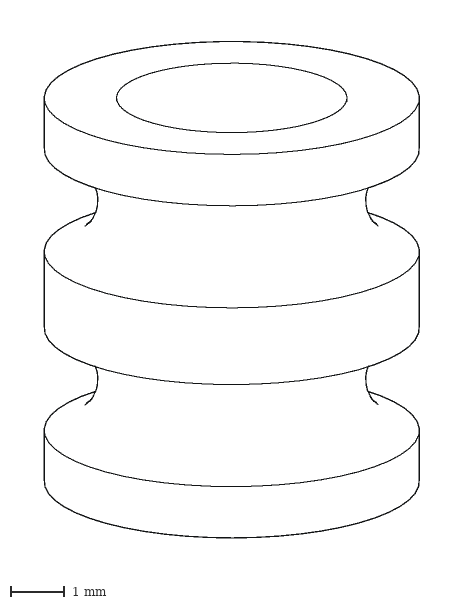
import cadquery as cq

height = 7.5
outer_diameter = 7.0
bottom_bore_diameter = 4.0
top_bore_diameter = 4.3
groove_radius = 1.0
groove_offset = 1.75

outer_radius = outer_diameter / 2
bottom_bore_radius = bottom_bore_diameter / 2
top_bore_radius = top_bore_diameter / 2
half_height = height / 2


def spool_body():
    """Cylinder centred on the origin with two half-round grooves."""
    body = cq.Workplane("XY").circle(outer_radius).extrude(half_height, both=True)
    for groove_z in (-groove_offset, groove_offset):
        groove = (
            cq.Workplane("XZ")
            .center(outer_radius, groove_z)
            .circle(groove_radius)
            .revolve(360, (-outer_radius, 0), (-outer_radius, 1))
        )
        body = body.cut(groove)
    return body


def bore():
    """Conical through bore, widening evenly from the bottom face to the top face."""
    return (
        cq.Workplane("XZ")
        .moveTo(0, -half_height)
        .lineTo(bottom_bore_radius, -half_height)
        .lineTo(top_bore_radius, half_height)
        .lineTo(0, half_height)
        .close()
        .revolve(360, (0, 0), (0, 1))
    )


result = spool_body().cut(bore())